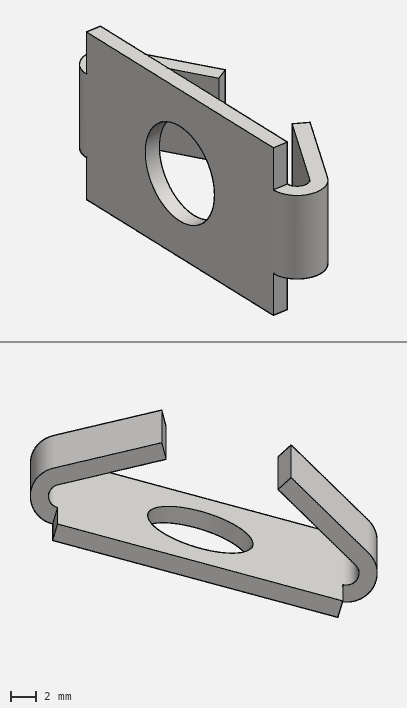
import cadquery as cq
import math

overall_width = 27.75
overall_depth = 8.77
plate_width = 22.98
plate_height = 15.0
thickness = 1.42
hole_diameter = 8.5
arm_height = 7.5
arm_angle = 30.0

bend_x = plate_width / 2
outer_radius = (overall_width - plate_width) / 2
inner_radius = outer_radius - thickness
bend_sweep = 180.0 - arm_angle
slope = math.radians(arm_angle)
arm_length = (overall_depth - outer_radius * (1 + math.cos(slope))) / math.sin(slope)


def bend_point(radius, sweep):
    """Point on the right-hand bend, swept from the plate edge around its centre."""
    angle = math.radians(sweep - 90)
    return (bend_x + radius * math.cos(angle), outer_radius + radius * math.sin(angle))


def along_arm(start):
    """Point at the free end of the arm, which leans inward over the plate."""
    return (start[0] - arm_length * math.cos(slope), start[1] + arm_length * math.sin(slope))


def make_plate():
    """Flat plate with a central through hole; its front face lies on Y = 0."""
    plate = cq.Workplane("XY").box(plate_width, thickness, plate_height, centered=(True, False, True))
    hole = cq.Workplane("XZ").circle(hole_diameter / 2).extrude(-thickness)
    return plate.cut(hole)


def make_right_arm():
    """Bend and straight spring arm, centred on the plate height."""
    outer_end = bend_point(outer_radius, bend_sweep)
    inner_end = bend_point(inner_radius, bend_sweep)
    return (
        cq.Workplane("XY")
        .moveTo(*bend_point(outer_radius, 0))
        .threePointArc(bend_point(outer_radius, bend_sweep / 2), outer_end)
        .lineTo(*along_arm(outer_end))
        .lineTo(*along_arm(inner_end))
        .lineTo(*inner_end)
        .threePointArc(bend_point(inner_radius, bend_sweep / 2), bend_point(inner_radius, 0))
        .close()
        .extrude(arm_height / 2, both=True)
    )


right_arm = make_right_arm()
left_arm = right_arm.mirror("YZ")
result = make_plate().union(right_arm).union(left_arm)